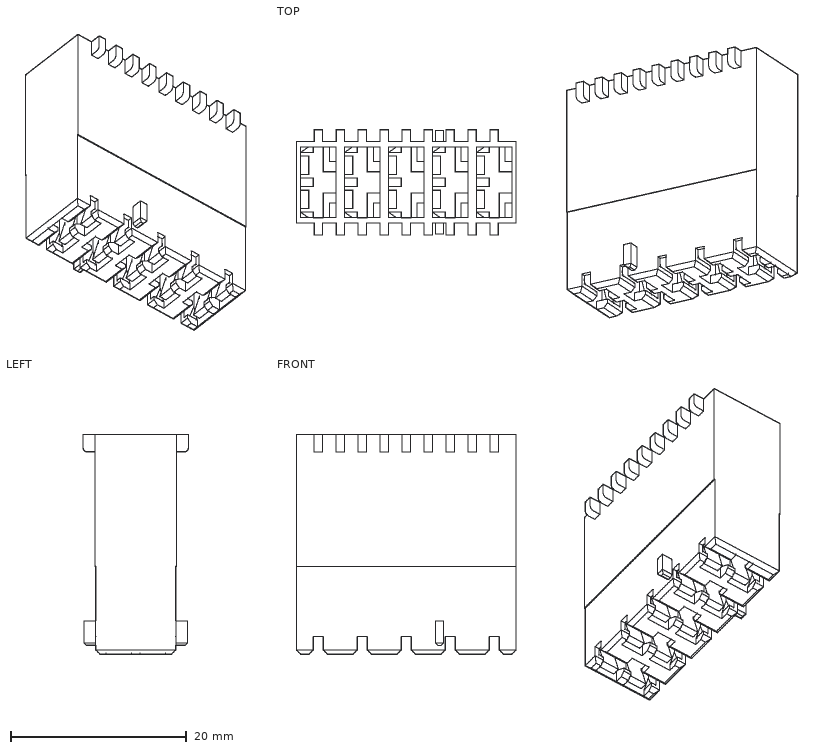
import cadquery as cq
import math

length = 25.0
height = 25.0
upper_depth = 9.3
lower_depth = 9.1
step_z = 10.0
base_chamfer = 0.5

cell_count = 5
cell_pitch = length / cell_count
cell_width = 4.0
cell_depth = 8.0
cell_half_width = cell_width / 2
cell_half_depth = cell_depth / 2
floor_top = 1.0

slot_width = 1.1
slot_top = 2.0

latch_hole_inner_y = 0.5
latch_hole_outer_y = 3.37
right_hole_width = 2.4

latch_reach = 0.92
latch_width = 2.12
latch_slope = 74.65
latch_y = (latch_hole_inner_y + latch_hole_outer_y) / 2

bridge_slope = 30.0

wedge_reach = 0.75
wedge_width = 1.65
wedge_height = 3.0

gusset_reach = 0.85
gusset_width = 0.6
gusset_height = 2.4

tooth_pitch = cell_pitch / 2
tooth_count = 2 * cell_count - 1
tooth_width = 0.97
tooth_height = 2.0
tooth_span = 12.0
tooth_radius = 0.5

peg_x = 3.775
peg_width = 0.95
peg_span = 11.8
peg_bottom = 1.0
peg_top = 3.8
peg_chamfer = 0.3


def box(x_range, y_range, z_range):
    """Axis-aligned box from its lower and upper limits."""
    x0, x1 = x_range
    y0, y1 = y_range
    z0, z1 = z_range
    return cq.Workplane("XY").box(x1 - x0, y1 - y0, z1 - z0, centered=False).translate((x0, y0, z0))


def centred_box(x_size, y_size, z_range):
    """Box centred on the Z axis."""
    return box((-x_size / 2, x_size / 2), (-y_size / 2, y_size / 2), z_range)


def spread(count, pitch):
    """Evenly spaced positions centred on zero."""
    return [(i - (count - 1) / 2) * pitch for i in range(count)]


def ramp(wall_x, tip_x, rise, y_centre, width):
    """Triangular ramp on the floor level, highest at the wall and running down to its tip."""
    profile = [(wall_x, floor_top), (tip_x, floor_top), (wall_x, floor_top + rise)]
    solid = cq.Workplane("XZ").polyline(profile).close().extrude(width / 2, both=True)
    return solid.translate((0, y_centre, 0))


def housing():
    """Two-step block with a chamfered base edge."""
    lower = centred_box(length, lower_depth, (0, step_z)).faces("<Z").chamfer(base_chamfer)
    return lower.union(centred_box(length, upper_depth, (step_z, height)))


def cell_cut():
    """Cavity, base slot with flared mouth, and floor openings of one cell."""
    slot_half = slot_width / 2
    mouth_half = slot_half + base_chamfer
    slot_profile = [
        (-mouth_half, 0),
        (-slot_half, base_chamfer),
        (-slot_half, slot_top),
        (slot_half, slot_top),
        (slot_half, base_chamfer),
        (mouth_half, 0),
    ]
    slot = cq.Workplane("XZ").polyline(slot_profile).close().extrude(upper_depth, both=True)
    cut = centred_box(cell_width, cell_depth, (floor_top, height)).union(slot)

    opening_z = (0, floor_top)
    right_y = (-right_hole_width / 2, right_hole_width / 2)
    cut = cut.union(box((0, cell_half_width), right_y, opening_z))
    for left_y in [
        (latch_hole_inner_y, latch_hole_outer_y),
        (-latch_hole_outer_y, -latch_hole_inner_y),
    ]:
        cut = cut.union(box((-cell_half_width, 0), left_y, opening_z))
    return cut


def gusset(side):
    """Three-sided pyramid in the left corner on the given Y side."""
    corner = cq.Vector(-cell_half_width, side * cell_half_depth, floor_top)
    x_tip = corner + cq.Vector(gusset_reach, 0, 0)
    y_tip = corner - cq.Vector(0, side * gusset_width, 0)
    apex = corner + cq.Vector(0, 0, gusset_height)
    triangles = [
        (corner, x_tip, y_tip),
        (corner, x_tip, apex),
        (corner, y_tip, apex),
        (x_tip, y_tip, apex),
    ]
    faces = [cq.Face.makeFromWires(cq.Wire.makePolygon(points, close=True)) for points in triangles]
    return cq.Workplane(cq.Solid.makeSolid(cq.Shell.makeShell(faces)))


def cell_fittings():
    """Bridge ramp, latches, corner wedges and gussets of one cell."""
    bridge_run = cell_half_width - slot_width / 2
    bridge_rise = bridge_run * math.tan(math.radians(bridge_slope))
    latch_rise = latch_reach * math.tan(math.radians(latch_slope))
    latch_tip = -cell_half_width + latch_reach
    wedge_tip = cell_half_width - wedge_reach
    wedge_y = cell_half_depth - wedge_width / 2

    fittings = [ramp(-cell_half_width, -slot_width / 2, bridge_rise, 0, 2 * latch_hole_inner_y)]
    for side in (-1, 1):
        fittings.append(ramp(-cell_half_width, latch_tip, latch_rise, side * latch_y, latch_width))
        fittings.append(ramp(cell_half_width, wedge_tip, wedge_height, side * wedge_y, wedge_width))
        fittings.append(gusset(side))
    return fittings


def rim_teeth(x):
    """Pair of teeth on opposite sides of the rim, rounded at their lower outer edges."""
    bar = centred_box(tooth_width, tooth_span, (height - tooth_height, height))
    bar = bar.edges("|X and <Z").fillet(tooth_radius)
    return bar.cut(centred_box(tooth_width, cell_depth, (0, height))).translate((x, 0, 0))


def pegs():
    """Pair of locating pegs on opposite sides, chamfered at the bottom."""
    bar = centred_box(peg_width, peg_span, (peg_bottom, peg_top)).faces("<Z").chamfer(peg_chamfer)
    return bar.cut(centred_box(peg_width, cell_depth, (0, height))).translate((peg_x, 0, 0))


result = housing().union(pegs())
for tooth_x in spread(tooth_count, tooth_pitch):
    result = result.union(rim_teeth(tooth_x))

for cell_x in spread(cell_count, cell_pitch):
    result = result.cut(cell_cut().translate((cell_x, 0, 0)))
    for fitting in cell_fittings():
        result = result.union(fitting.translate((cell_x, 0, 0)))